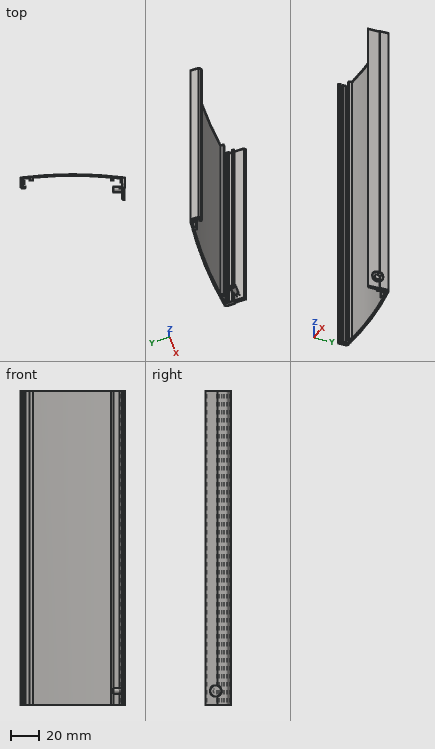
import cadquery as cq
import math

LENGTH = 224.0
WIDTH = 74.8
DEPTH = 18.4

PANEL_RISE = 2.5
PANEL_THICKNESS = 1.1
CORNER_RADIUS = 1.3
EAVE_Y = DEPTH - PANEL_RISE
HALF_WIDTH = WIDTH / 2
OUTER_RADIUS = (HALF_WIDTH ** 2 + PANEL_RISE ** 2) / (2 * PANEL_RISE)
INNER_RADIUS = OUTER_RADIUS - PANEL_THICKNESS
ARC_CENTER_Y = DEPTH - OUTER_RADIUS

RIB_END_Y = 13.7
LEFT_RIB_X = 6.7
LEFT_RIB_WIDTH = 2.2
RIGHT_RIB_X = 64.5
RIGHT_RIB_WIDTH = 1.8

LEFT_WALL = 1.3
LEFT_LEDGE_X = 3.0
LEFT_LEDGE_LOW_Y = 11.5
LEFT_LEDGE_HIGH_Y = 13.5
HOOK_TURN_Y = 9.5
HOOK_END_Y = 8.0
HOOK_BEND_X = 1.5
HOOK_TIP_X = 3.5
HOOK_TIP_Y = 9.5
HOOK_TIP_BEVEL = 0.7
HOOK_INNER_X = 2.2

RIGHT_INNER_X = 72.4
RIGHT_STEP_Y = 8.7
RIGHT_LOWER_X = 74.1
LEDGE_X = 70.8
LEDGE_LOW_Y = 8.3
LEDGE_HIGH_Y = 9.6
BUMP_X = 71.5
BUMP_LOW_Y = 12.5
BUMP_HIGH_Y = 13.7
TIP_BEVEL_X = 1.3
TIP_BEVEL_Y = 1.1

PIN_DIAMETER = 4.0
HEAD_DIAMETER = 8.0
HEAD_THICKNESS = 1.0
HEAD_INNER_X = RIGHT_LOWER_X - HEAD_THICKNESS
PIN_TIP_X = 66.0
PIN_TIP_CHAMFER = 0.5
PIN_Y = 7.5
PIN_Z = 10.0


def arc_y(radius, x):
    """Height of a panel arc at a position across the width."""
    return ARC_CENTER_Y + math.sqrt(radius ** 2 - (x - HALF_WIDTH) ** 2)


def block(x_min, x_max, y_min, y_max):
    """Rectangular bar running the full length."""
    return cq.Workplane("XY").box(
        x_max - x_min, y_max - y_min, LENGTH, centered=False
    ).translate((x_min, y_min, 0))


def make_shell():
    """Bowed panel with both side walls, rounded at its outer corners."""
    inner_left_y = arc_y(INNER_RADIUS, LEFT_WALL)
    inner_right_y = arc_y(INNER_RADIUS, RIGHT_INNER_X)
    shell = (
        cq.Workplane("XY")
        .moveTo(0, HOOK_TURN_Y)
        .lineTo(0, EAVE_Y)
        .threePointArc((HALF_WIDTH, DEPTH), (WIDTH, EAVE_Y))
        .lineTo(WIDTH, RIGHT_STEP_Y)
        .lineTo(RIGHT_LOWER_X, RIGHT_STEP_Y)
        .lineTo(RIGHT_LOWER_X, 0)
        .lineTo(RIGHT_INNER_X + TIP_BEVEL_X, 0)
        .lineTo(RIGHT_INNER_X, TIP_BEVEL_Y)
        .lineTo(RIGHT_INNER_X, inner_right_y)
        .threePointArc((HALF_WIDTH, DEPTH - PANEL_THICKNESS), (LEFT_WALL, inner_left_y))
        .lineTo(LEFT_WALL, HOOK_TURN_Y)
        .close()
        .extrude(LENGTH)
    )
    corners = cq.selectors.BoxSelector(
        (-CORNER_RADIUS, EAVE_Y - PANEL_THICKNESS / 4, 0),
        (WIDTH + CORNER_RADIUS, EAVE_Y + PANEL_THICKNESS / 4, LENGTH),
    )
    return shell.edges("|Z").edges(corners).fillet(CORNER_RADIUS)


def make_rib(x_min, width):
    """Rib whose root is buried within the panel thickness."""
    root_y = arc_y(OUTER_RADIUS, x_min + width / 2) - PANEL_THICKNESS / 2
    return block(x_min, x_min + width, RIB_END_Y, root_y)


def make_hook():
    """Inward hook at the free end of the left wall."""
    return cq.Workplane("XY").polyline([
        (0, HOOK_TURN_Y),
        (HOOK_BEND_X, HOOK_END_Y),
        (HOOK_TIP_X - HOOK_TIP_BEVEL, HOOK_END_Y),
        (HOOK_TIP_X, HOOK_END_Y + HOOK_TIP_BEVEL),
        (HOOK_TIP_X, HOOK_TIP_Y),
        (HOOK_INNER_X, HOOK_TIP_Y),
        (LEFT_WALL, HOOK_TURN_Y + LEFT_WALL / 2),
        (0, HOOK_TURN_Y + LEFT_WALL / 2),
    ]).close().extrude(LENGTH)


def disc(x_min, x_max, diameter):
    """Round length along X on the pin axis."""
    face = cq.Workplane("YZ", origin=(x_min, PIN_Y, PIN_Z))
    return face.circle(diameter / 2).extrude(x_max - x_min)


def make_pin():
    """Pin along X with a flat head flush with the lower right wall."""
    head = disc(HEAD_INNER_X, RIGHT_LOWER_X, HEAD_DIAMETER)
    shank = disc(PIN_TIP_X, RIGHT_LOWER_X, PIN_DIAMETER)
    shank = shank.faces("<X").chamfer(PIN_TIP_CHAMFER)
    return head.union(shank)


def make_pin_seat():
    """Through hole and head recess, open to the outer face of the wall."""
    hole = disc(PIN_TIP_X, WIDTH, PIN_DIAMETER)
    recess = disc(HEAD_INNER_X, WIDTH, HEAD_DIAMETER)
    return hole.union(recess)


def make_cover():
    """Complete cover profile with the seat for the pin."""
    cover = make_shell()
    cover = cover.union(make_rib(LEFT_RIB_X, LEFT_RIB_WIDTH))
    cover = cover.union(make_rib(RIGHT_RIB_X, RIGHT_RIB_WIDTH))
    cover = cover.union(make_hook())
    cover = cover.union(block(LEFT_WALL / 2, LEFT_LEDGE_X, LEFT_LEDGE_LOW_Y, LEFT_LEDGE_HIGH_Y))
    cover = cover.union(block(LEDGE_X, RIGHT_LOWER_X, LEDGE_LOW_Y, LEDGE_HIGH_Y))
    cover = cover.union(block(BUMP_X, RIGHT_LOWER_X, BUMP_LOW_Y, BUMP_HIGH_Y))
    return cover.cut(make_pin_seat())


cover = make_cover()
pin = make_pin()
result = cq.Compound.makeCompound([cover.val(), pin.val()])